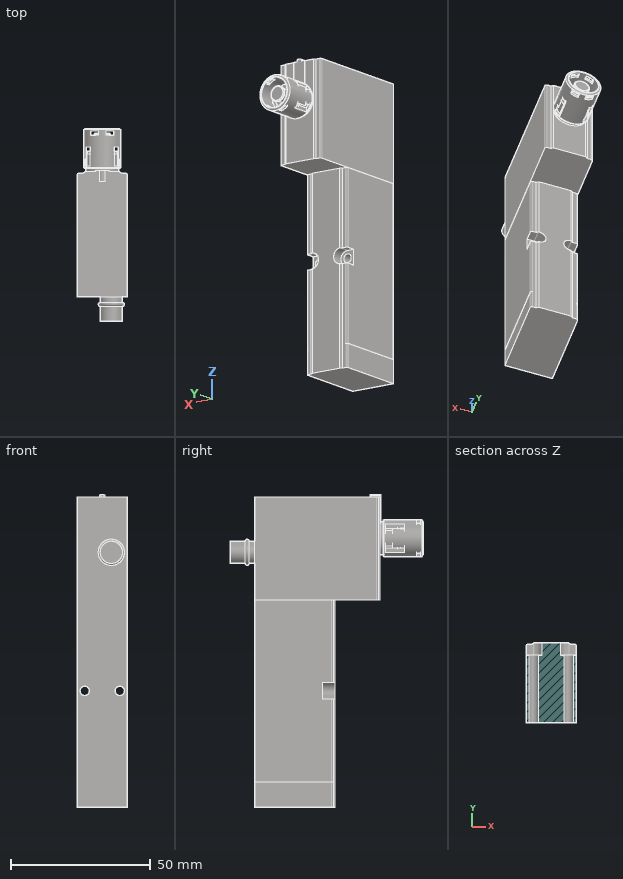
import cadquery as cq

WIDTH = 18.1
HEAD_DEPTH = 45.1
HEAD_TOP = 111.6
HEAD_BOTTOM = 74.5
STEM_WIDTH = 18.0
STEM_DEPTH = 28.9
FOOT_HEIGHT = 9.0
BACK_RADIUS = 0.7

PANEL_HEIGHT = 0.6
PANEL_BASE_WIDTH = 14.0
PANEL_TOP_WIDTH = 12.1

HOLE_DIAMETER = 3.3
HOLE_OFFSET = 6.3
HOLE_HEIGHT = 41.8
SEAT_DIAMETER = 5.8
SEAT_DEPTH = 4.5

TAB_WIDTH = 2.0
TAB_LENGTH = 3.9
TAB_SIDE_HEIGHT = 0.6
TAB_CROWN_HEIGHT = 0.9
PAD_WIDTH = 5.0
PAD_THICKNESS = 0.3

PLUG_X = 3.3
PLUG_Z = 91.7
PLUG_DIAMETER = 8.0
PLUG_LENGTH = 8.8
RING_WIDTH = 1.5
RING_DISTANCE = 2.7

CONNECTOR_Z = 96.7
CONNECTOR_END = 60.6
NECK_DIAMETER = 12.0
CORE_DIAMETER = 11.2
CORE_END = 52.4
CORE_TAPER_LENGTH = 1.0
CORE_TAPER_DEPTH = 0.3
BARB_STEM_DIAMETER = 5.0
BARB_DIAMETER = 5.8
BARB_START = 58.3
BARB_END = 58.9
BARB_CHAMFER = 0.3
SLEEVE_DIAMETER = 13.4
SLEEVE_START = 46.1
SLEEVE_CHAMFER = 0.3
RIM_WIDTH = 0.2
RIM_BEVEL_LENGTH = 0.5

SLOT_INNER_X = 4.4
SLOT_OUTER_X = 5.7
SLOT_FOOT_X = 6.1
SLOT_START = 47.0
SLOT_END = 53.9
SLOT_FOOT_END = 49.5

WINDOW_INNER_X = 1.3
WINDOW_OUTER_X = 4.0
WINDOW_START = 58.2
WINDOW_END = 59.6


def block(width, y_start, y_end, z_start, z_end):
    """Box centred on X = 0."""
    size = (width, y_end - y_start, z_end - z_start)
    return cq.Workplane("XY").box(*size, centered=(True, False, False)).translate((0, y_start, z_start))


def y_cylinder(x, z, diameter, y_start, y_end):
    """Round bar along Y."""
    return cq.Workplane("XZ", origin=(x, y_start, z)).circle(diameter / 2).extrude(y_start - y_end)


def column(width, depth, z_start, z_end):
    """Column with two rounded back corners and the raised panel on its back; depth includes the panel."""
    panel_base = depth - PANEL_HEIGHT
    base_half = PANEL_BASE_WIDTH / 2
    top_half = PANEL_TOP_WIDTH / 2
    panel_outline = [(-base_half, panel_base), (base_half, panel_base), (top_half, depth), (-top_half, depth)]
    panel = cq.Workplane("XY", origin=(0, 0, z_start)).polyline(panel_outline).close().extrude(z_end - z_start)
    core = block(width, 0, panel_base, z_start, z_end).edges("|Z and >Y").fillet(BACK_RADIUS)
    return core.union(panel)


def make_tab(back):
    """Locating tab with a slightly crowned top, flush with the back of the pad."""
    half = TAB_WIDTH / 2
    side_top = HEAD_TOP + TAB_SIDE_HEIGHT
    return (
        cq.Workplane("XZ", origin=(0, back, 0))
        .moveTo(-half, HEAD_TOP)
        .lineTo(half, HEAD_TOP)
        .lineTo(half, side_top)
        .threePointArc((0, HEAD_TOP + TAB_CROWN_HEIGHT), (-half, side_top))
        .close()
        .extrude(TAB_LENGTH)
    )


def mounting_hole(side):
    """Through hole with a deep seat that opens to the side of the stem."""
    x = side * HOLE_OFFSET
    seat_floor = STEM_DEPTH - SEAT_DEPTH
    hole = y_cylinder(x, HOLE_HEIGHT, HOLE_DIAMETER, 0, STEM_DEPTH)
    seat = y_cylinder(x, HOLE_HEIGHT, SEAT_DIAMETER, seat_floor, STEM_DEPTH)
    opening_width = WIDTH / 2
    side_opening = block(
        opening_width,
        seat_floor,
        STEM_DEPTH,
        HOLE_HEIGHT - SEAT_DIAMETER / 2,
        HOLE_HEIGHT + SEAT_DIAMETER / 2,
    ).translate((x + side * opening_width / 2, 0, 0))
    return hole.union(seat).union(side_opening)


def make_plug():
    """Pin on the mounting face with a half-round ring."""
    pin = y_cylinder(PLUG_X, PLUG_Z, PLUG_DIAMETER, -PLUG_LENGTH, 0)
    ring_radius = RING_WIDTH / 2
    pin_radius = PLUG_DIAMETER / 2
    ring = (
        cq.Workplane("XY")
        .moveTo(0, -ring_radius)
        .lineTo(pin_radius, -ring_radius)
        .threePointArc((pin_radius + ring_radius, 0), (pin_radius, ring_radius))
        .lineTo(0, ring_radius)
        .close()
        .revolve(360, (0, 0, 0), (0, 1, 0))
        .translate((PLUG_X, -RING_DISTANCE, PLUG_Z))
    )
    return pin.union(ring)


def revolve_on_connector(profile):
    """Turn a closed (radius, y) profile around the connector axis."""
    turned = cq.Workplane("XY").polyline(profile).close().revolve(360, (0, 0, 0), (0, 1, 0))
    return turned.translate((0, 0, CONNECTOR_Z))


def make_connector_core():
    """Neck, tapered core and barbed stem that stand on the back of the head."""
    neck_radius = NECK_DIAMETER / 2
    stem_radius = BARB_STEM_DIAMETER / 2
    barb_radius = BARB_DIAMETER / 2
    core_radius = CORE_DIAMETER / 2
    neck_start = HEAD_DEPTH - PANEL_HEIGHT
    return revolve_on_connector([
        (0, neck_start),
        (neck_radius, neck_start),
        (neck_radius, SLEEVE_START),
        (core_radius, SLEEVE_START),
        (core_radius, CORE_END - CORE_TAPER_LENGTH),
        (core_radius - CORE_TAPER_DEPTH, CORE_END),
        (stem_radius, CORE_END),
        (stem_radius, BARB_START),
        (barb_radius, BARB_START),
        (barb_radius, BARB_END - BARB_CHAMFER),
        (barb_radius - BARB_CHAMFER, BARB_END),
        (0, BARB_END),
    ])


def make_housing():
    """One-piece body: head, stem and foot with the tab, connector core and plug."""
    head = column(WIDTH, HEAD_DEPTH, HEAD_BOTTOM, HEAD_TOP)
    stem = column(STEM_WIDTH, STEM_DEPTH, FOOT_HEIGHT, HEAD_BOTTOM)
    foot = column(WIDTH, STEM_DEPTH, 0, FOOT_HEIGHT)
    body = head.union(stem).union(foot)
    for side in (-1, 1):
        body = body.cut(mounting_hole(side))
    pad_back = HEAD_DEPTH + PAD_THICKNESS
    pad = block(PAD_WIDTH, HEAD_DEPTH, pad_back, CONNECTOR_Z, HEAD_TOP)
    body = body.union(pad).union(make_tab(pad_back))
    return body.union(make_connector_core()).union(make_plug())


def wall_cutter(x_start, x_end, y_start, y_end):
    """Box that passes through the whole sleeve along Z, on the +X side."""
    width = x_end - x_start
    height = 2 * SLEEVE_DIAMETER
    box = cq.Workplane("XY").box(width, y_end - y_start, height, centered=(False, False, True))
    return box.translate((x_start, y_start, CONNECTOR_Z))


def make_sleeve():
    """Hollow sleeve around the core, seated on the neck, with side slots and end windows."""
    bore_radius = CORE_DIAMETER / 2
    outer_radius = SLEEVE_DIAMETER / 2
    sleeve = revolve_on_connector([
        (bore_radius, SLEEVE_START),
        (outer_radius - SLEEVE_CHAMFER, SLEEVE_START),
        (outer_radius, SLEEVE_START + SLEEVE_CHAMFER),
        (outer_radius, CONNECTOR_END - RIM_BEVEL_LENGTH),
        (bore_radius + RIM_WIDTH, CONNECTOR_END),
        (bore_radius, CONNECTOR_END),
    ])
    openings = (
        wall_cutter(SLOT_INNER_X, SLOT_OUTER_X, SLOT_START, SLOT_END)
        .union(wall_cutter(SLOT_INNER_X, SLOT_FOOT_X, SLOT_START, SLOT_FOOT_END))
        .union(wall_cutter(WINDOW_INNER_X, WINDOW_OUTER_X, WINDOW_START, WINDOW_END))
    )
    return sleeve.cut(openings).cut(openings.mirror("YZ"))


housing = make_housing()
sleeve = make_sleeve()
result = cq.Compound.makeCompound([housing.val(), sleeve.val()])